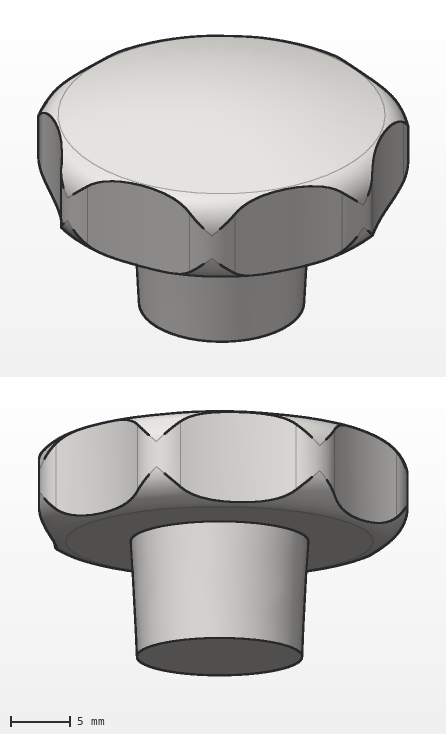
import cadquery as cq
import math


total_height = 20.0
stem_height = 10.0
stem_base_radius = 7.0
stem_draft = math.radians(3)
stem_top_radius = stem_base_radius + stem_height * math.tan(stem_draft)

lobe_count = 7
grip_radius = 16.0
lobe_tip_radius = 3.0
scallop_radius = 20.0
dome_radius = 50.0
rim_radius = 3.0

half_pitch = math.pi / lobe_count
full_turn_degrees = 360


def polar(radius, angle):
    return (radius * math.cos(angle), radius * math.sin(angle))


def point_toward(start, end, distance):
    """Point at the given distance from start on the line to end."""
    ratio = distance / math.dist(start, end)
    return (start[0] + ratio * (end[0] - start[0]), start[1] + ratio * (end[1] - start[1]))


def make_stem():
    """Cone frustum widening toward the grip."""
    return (
        cq.Workplane("XY")
        .circle(stem_base_radius)
        .workplane(offset=stem_height)
        .circle(stem_top_radius)
        .loft()
    )


def make_star_prism():
    """Star column of convex lobe tips joined tangentially by concave scallops."""
    tip_center_radius = grip_radius - lobe_tip_radius
    scallop_center_radius = tip_center_radius * math.cos(half_pitch) + math.sqrt(
        (scallop_radius + lobe_tip_radius) ** 2 - (tip_center_radius * math.sin(half_pitch)) ** 2
    )
    valley_radius = scallop_center_radius - scallop_radius

    def tangent_point(lobe_angle, side):
        tip_center = polar(tip_center_radius, lobe_angle)
        scallop_center = polar(scallop_center_radius, lobe_angle + side * half_pitch)
        return point_toward(tip_center, scallop_center, lobe_tip_radius)

    first_lobe_angle = math.pi / 2
    outline = cq.Workplane("XY").workplane(offset=stem_height)
    outline = outline.moveTo(*tangent_point(first_lobe_angle, -1))
    for index in range(lobe_count):
        lobe_angle = first_lobe_angle + 2 * half_pitch * index
        next_lobe_angle = lobe_angle + 2 * half_pitch
        outline = outline.threePointArc(polar(grip_radius, lobe_angle), tangent_point(lobe_angle, 1))
        outline = outline.threePointArc(
            polar(valley_radius, lobe_angle + half_pitch), tangent_point(next_lobe_angle, -1)
        )
    return outline.close().extrude(total_height - stem_height)


def make_grip_envelope():
    """Round domed disc whose rims are blended into the dome and the flat underside."""
    rim_center_radius = grip_radius - rim_radius
    lower_rim_z = stem_height + rim_radius
    dome_center = (0, total_height - dome_radius)
    upper_rim_z = dome_center[1] + math.sqrt((dome_radius - rim_radius) ** 2 - rim_center_radius**2)
    upper_rim_center = (rim_center_radius, upper_rim_z)
    dome_edge = point_toward(dome_center, upper_rim_center, dome_radius)

    return (
        cq.Workplane("XZ")
        .moveTo(0, stem_height)
        .lineTo(rim_center_radius, stem_height)
        .tangentArcPoint((grip_radius, lower_rim_z), relative=False)
        .lineTo(grip_radius, upper_rim_z)
        .tangentArcPoint(dome_edge, relative=False)
        .tangentArcPoint((0, total_height), relative=False)
        .close()
        .revolve(full_turn_degrees, (0, 0, 0), (0, 1, 0))
    )


grip = make_star_prism().intersect(make_grip_envelope())
result = grip.union(make_stem())